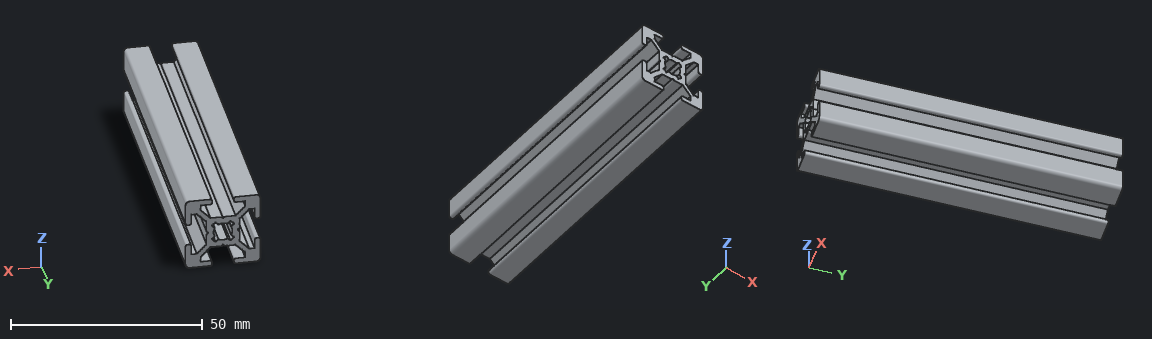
import cadquery as cq
import math

length = 83.0
side = 20.0
corner_radius = 1.2

lip_thickness = 1.6
lip_round = 0.6
mouth_width = 5.8
undercut_width = 11.9
core_width = 8.8
web_thickness = 1.5
groove_width = 0.8
groove_depth = 0.4
groove_round = 0.3

bore_diameter = 5.0
cross_slot_width = 1.3
cross_slot_length = 7.0

half_side = side / 2
lip_back = half_side - lip_thickness
mouth_half = mouth_width / 2
lip_end = mouth_half + lip_round
undercut_half = undercut_width / 2
floor = core_width / 2
groove_half = groove_width / 2
web_offset = web_thickness / math.sqrt(2)


def along_length(profile):
    """Extrude a closed XZ profile over the full length."""
    return profile.extrude(length / 2, both=True)


def make_bar():
    bar = along_length(cq.Workplane("XZ").rect(side, side))
    return bar.edges("|Y").fillet(corner_radius)


def make_slot():
    """Cutter for the +Z slot; it leaves rounded lips and a groove in the floor."""
    outline = (
        cq.Workplane("XZ")
        .moveTo(0, floor - groove_depth)
        .lineTo(groove_half, floor)
        .lineTo(floor - web_offset, floor)
        .lineTo(undercut_half, undercut_half + web_offset)
        .lineTo(undercut_half, lip_back)
        .lineTo(lip_end, lip_back)
        .radiusArc((mouth_half, lip_back + lip_round), lip_round)
        .lineTo(mouth_half, half_side - lip_round)
        .radiusArc((lip_end, half_side), lip_round)
        .lineTo(0, half_side)
        .mirrorY()
    )
    slot = along_length(outline)
    for x in (-groove_half, groove_half):
        mouth_edge = cq.NearestToPointSelector((x, 0, floor))
        slot = slot.edges(mouth_edge).fillet(groove_round)
    return slot


def make_bore():
    """Cutter for the round bore and its two crossed diagonal slots."""
    bore = along_length(cq.Workplane("XZ").circle(bore_diameter / 2))
    cross_slot = along_length(cq.Workplane("XZ").rect(cross_slot_length, cross_slot_width))
    for angle in (45, -45):
        bore = bore.union(cross_slot.rotate((0, 0, 0), (0, 1, 0), angle))
    return bore


result = make_bar()
slot = make_slot()
for angle in (0, 90, 180, 270):
    result = result.cut(slot.rotate((0, 0, 0), (0, 1, 0), angle))
result = result.cut(make_bore())